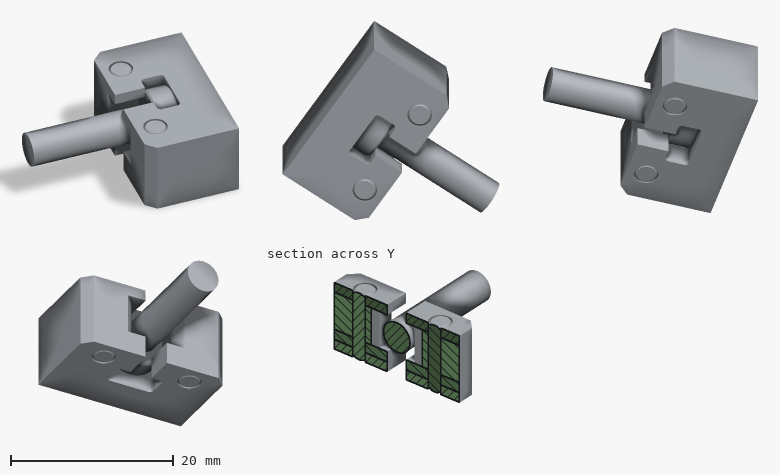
import cadquery as cq

STACK_WIDTH = 20.0
STACK_DEPTH = 12.0
PLATE_THICKNESS = 1.46
BLOCK_HEIGHT = 5.25
CORNER_CHAMFER = 1.25
BLOCK_BOTTOM = 2 * PLATE_THICKNESS
BLOCK_TOP = BLOCK_BOTTOM + BLOCK_HEIGHT
STACK_HEIGHT = BLOCK_TOP + PLATE_THICKNESS
PLATE_LEVELS = (0, PLATE_THICKNESS, BLOCK_TOP)

ROD_DIAMETER = 4.3
ROD_PROTRUSION = 12.0
HEAD_DIAMETER = 7.75
HEAD_LENGTH = 3.0
HEAD_FRONT_CHAMFER = 0.22
HEAD_BACK_CHAMFER = 0.15
HEAD_FRONT = 3.95
HEAD_BACK = HEAD_FRONT + HEAD_LENGTH
ROD_AXIS_HEIGHT = BLOCK_BOTTOM + BLOCK_HEIGHT / 2

PLATE_SLOT_WIDTH = 3.0
PLATE_WINDOW_WIDTH = 6.26
WINDOW_CORNER_RADIUS = 0.48

THROAT_WIDTH = 5.6
MOUTH_WIDTH = 7.97
MOUTH_CHAMFER = (MOUTH_WIDTH - THROAT_WIDTH) / 2
MOUTH_BLEND_RADIUS = 0.85
POCKET_WIDTH = MOUTH_WIDTH
POCKET_FRONT = 3.67

PIN_DIAMETER = 3.0
PIN_CHAMFER = 0.3
PIN_SPACING = 12.0
PIN_SETBACK = 2.5
PIN_CENTERS = [(side * PIN_SPACING / 2, PIN_SETBACK) for side in (-1, 1)]


def make_blank(height):
    """Rectangular slab with chamfered front corners and the two pin holes."""
    return (
        cq.Workplane("XY")
        .rect(STACK_WIDTH, STACK_DEPTH)
        .extrude(height)
        .translate((0, STACK_DEPTH / 2, 0))
        .edges("|Z and <Y")
        .chamfer(CORNER_CHAMFER)
        .pushPoints(PIN_CENTERS)
        .circle(PIN_DIAMETER / 2)
        .cutThruAll()
    )


def make_cutter(width, front, back, height):
    """Box centred on X that spans front to back in Y and starts at Z = 0."""
    box = cq.Workplane("XY").box(width, back - front, height, centered=(True, False, False))
    return box.translate((0, front, 0))


def make_plate(level):
    """Plate with a narrow slot for the rod and a wider window over the head."""
    slot = make_cutter(PLATE_SLOT_WIDTH, 0, HEAD_BACK, PLATE_THICKNESS)
    window = make_cutter(PLATE_WINDOW_WIDTH, HEAD_FRONT, HEAD_BACK, PLATE_THICKNESS)
    window = window.edges("|Z").fillet(WINDOW_CORNER_RADIUS)
    return make_blank(PLATE_THICKNESS).cut(slot).cut(window).translate((0, 0, level))


def make_block():
    """Block with a flared mouth, a throat for the rod and a pocket for the head."""
    throat = (
        cq.Workplane("XY")
        .moveTo(-MOUTH_WIDTH / 2, 0)
        .lineTo(-THROAT_WIDTH / 2, MOUTH_CHAMFER)
        .lineTo(-THROAT_WIDTH / 2, HEAD_BACK)
        .lineTo(THROAT_WIDTH / 2, HEAD_BACK)
        .lineTo(THROAT_WIDTH / 2, MOUTH_CHAMFER)
        .lineTo(MOUTH_WIDTH / 2, 0)
        .close()
        .extrude(BLOCK_HEIGHT)
    )
    throat = throat.edges("|Z").edges("not(<Y or >Y)").fillet(MOUTH_BLEND_RADIUS)
    pocket = make_cutter(POCKET_WIDTH, POCKET_FRONT, HEAD_BACK, BLOCK_HEIGHT)
    return make_blank(BLOCK_HEIGHT).cut(throat).cut(pocket).translate((0, 0, BLOCK_BOTTOM))


def make_rod():
    """Turned rod whose chamfered head sits inside the stack."""
    head_radius = HEAD_DIAMETER / 2
    return (
        cq.Workplane("YZ")
        .moveTo(-ROD_PROTRUSION, 0)
        .lineTo(-ROD_PROTRUSION, ROD_DIAMETER / 2)
        .lineTo(HEAD_FRONT, ROD_DIAMETER / 2)
        .lineTo(HEAD_FRONT, head_radius - HEAD_FRONT_CHAMFER)
        .lineTo(HEAD_FRONT + HEAD_FRONT_CHAMFER, head_radius)
        .lineTo(HEAD_BACK - HEAD_BACK_CHAMFER, head_radius)
        .lineTo(HEAD_BACK, head_radius - HEAD_BACK_CHAMFER)
        .lineTo(HEAD_BACK, 0)
        .close()
        .revolve(360, (0, 0), (1, 0))
        .translate((0, 0, ROD_AXIS_HEIGHT))
    )


def make_pin(center):
    """Dowel pin through the whole stack, chamfered at both ends."""
    pin = cq.Workplane("XY").circle(PIN_DIAMETER / 2).extrude(STACK_HEIGHT)
    return pin.faces("<Z or >Z").chamfer(PIN_CHAMFER).translate((*center, 0))


plates = [make_plate(level) for level in PLATE_LEVELS]
block = make_block()
rod = make_rod()
pins = [make_pin(center) for center in PIN_CENTERS]

result = cq.Compound.makeCompound(
    [
        *[plate.val() for plate in plates],
        block.val(),
        rod.val(),
        *[pin.val() for pin in pins],
    ]
)